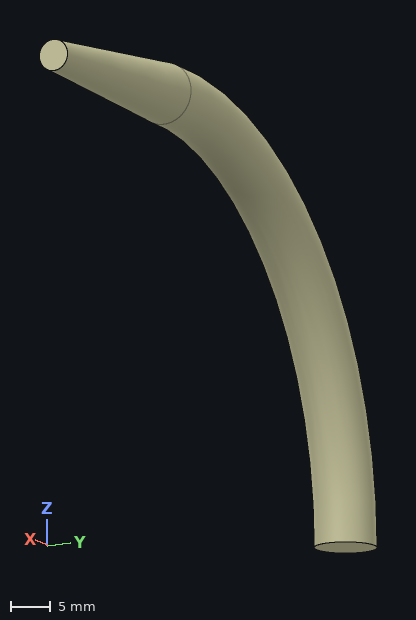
import cadquery as cq

total_length = 83.95
total_height = 54.0
tube_diameter = 8.0
tip_diameter = 4.0

tube_radius = tube_diameter / 2
bend_radius = total_height - tube_radius
spout_length = total_length - tube_radius - bend_radius


def quarter_bend():
    """Round bar rising from the origin along +Z and turning to +X."""
    return (
        cq.Workplane("XY")
        .circle(tube_radius)
        .revolve(90, (bend_radius, 0, 0), (bend_radius, 1, 0))
    )


def tapered_spout():
    """Straight cone that continues the bend along +X."""
    return (
        cq.Workplane("YZ", origin=(bend_radius, 0, bend_radius))
        .circle(tube_radius)
        .workplane(offset=spout_length)
        .circle(tip_diameter / 2)
        .loft(ruled=True)
    )


result = quarter_bend().union(tapered_spout())